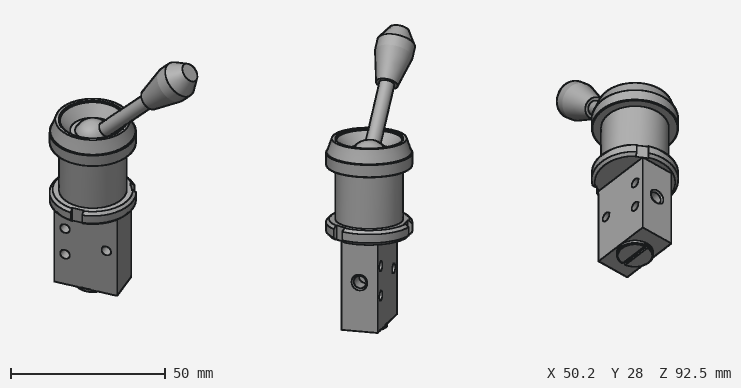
import cadquery as cq

block_bottom = 1.4
block_height = 30.0
nut_height = 4.9
cap_bottom = 54.4
cap_band_top = 58.6
cap_top = 63.5
dish_floor = 59.2

block_width = 22.0
block_depth = 12.2
sleeve_diameter = 22.0
block_top = block_bottom + block_height

pin_hole_diameter = 3.3
pin_hole_offset = 7.2
pin_hole_spacing = 10.0
port_height = 17.9
port_diameter = 4.2
port_depth = 6.5
port_mouth_diameter = 5.4

screw_diameter = 11.8
screw_chamfer = 0.4
screw_slot_width = 1.2
screw_slot_depth = 1.0

ring_diameter = 28.0
nut_chamfer = 1.0
notch_width = 4.0
notch_floor_radius = 12.5
notch_angles = (-90, 30, 150)

cap_edge_chamfer = 0.3
cap_rim_diameter = 24.2
dish_lip_diameter = 22.0
dish_lip_depth = 0.5
dish_mouth_diameter = 21.2
dish_floor_diameter = 14.7

lever_tilt = 45
lever_center_height = 56.29
ball_diameter = 12.95
rod_diameter = 5.0
knob_start = 28.0
knob_band_start = 39.0
knob_band_end = 43.0
knob_end = 48.0
knob_neck_diameter = 7.2
knob_diameter = 12.5
knob_end_diameter = 6.5


def make_block():
    """Rectangular block with three through holes and one blind port."""
    block = (
        cq.Workplane("XY")
        .workplane(offset=block_bottom)
        .rect(block_width, block_depth)
        .extrude(block_height)
    )
    hole_places = [
        (-pin_hole_offset, port_height - pin_hole_spacing / 2),
        (-pin_hole_offset, port_height + pin_hole_spacing / 2),
        (pin_hole_offset, port_height),
    ]
    pin_holes = cq.Workplane("XZ").pushPoints(hole_places).circle(pin_hole_diameter / 2)
    block = block.cut(pin_holes.extrude(block_depth, both=True))

    face_x = -block_width / 2
    mouth_depth = (port_mouth_diameter - port_diameter) / 2
    port = (
        cq.Workplane("XY", origin=(face_x, 0, port_height))
        .lineTo(0, port_mouth_diameter / 2)
        .lineTo(mouth_depth, port_diameter / 2)
        .lineTo(port_depth, port_diameter / 2)
        .lineTo(port_depth, 0)
        .close()
        .revolve(360, (0, 0), (1, 0))
    )
    return block.cut(port)


def make_screw_head():
    """Slotted round head below the block."""
    head = cq.Workplane("XY").circle(screw_diameter / 2).extrude(block_bottom)
    head = head.faces("<Z").chamfer(screw_chamfer)
    slot = cq.Workplane("XY").rect(screw_diameter, screw_slot_width).extrude(screw_slot_depth)
    return head.cut(slot)


def make_nut():
    """Ring nut, chamfered on both edges, with three flat-floored notches."""
    nut = cq.Workplane("XY").workplane(offset=block_top).circle(ring_diameter / 2).extrude(nut_height)
    nut = nut.faces("<Z or >Z").chamfer(nut_chamfer)
    notch_reach = ring_diameter / 2 - notch_floor_radius
    for angle in notch_angles:
        notch = (
            cq.Workplane("XY")
            .box(notch_reach, notch_width, nut_height, centered=(False, True, False))
            .translate((notch_floor_radius, 0, block_top))
            .rotate((0, 0, 0), (0, 0, 1), angle)
        )
        nut = nut.cut(notch)
    return nut


def make_cap():
    """Tapered cap with a conical dish sunk into its top."""
    ring_radius = ring_diameter / 2
    profile = [
        (0, cap_bottom),
        (ring_radius - cap_edge_chamfer, cap_bottom),
        (ring_radius, cap_bottom + cap_edge_chamfer),
        (ring_radius, cap_band_top),
        (ring_radius - cap_edge_chamfer, cap_band_top + cap_edge_chamfer),
        (cap_rim_diameter / 2, cap_top),
        (dish_lip_diameter / 2, cap_top),
        (dish_lip_diameter / 2, cap_top - dish_lip_depth),
        (dish_mouth_diameter / 2, cap_top - dish_lip_depth),
        (dish_floor_diameter / 2, dish_floor),
        (0, dish_floor),
    ]
    return cq.Workplane("XZ").polyline(profile).close().revolve(360, (0, 0), (0, 1))


def make_ball():
    """Ball on which the lever pivots."""
    return cq.Workplane("XY").sphere(ball_diameter / 2).translate((0, 0, lever_center_height))


def make_housing():
    """Block, screw head, nut, sleeve and cap, with a socket fitted to the lever."""
    sleeve = (
        cq.Workplane("XY")
        .workplane(offset=block_top)
        .circle(sleeve_diameter / 2)
        .extrude(cap_bottom - block_top)
    )
    housing = make_block().union(make_screw_head()).union(make_nut()).union(sleeve).union(make_cap())
    return housing.cut(make_lever())


def make_lever():
    """Ball, rod and knob, with the rod tilted towards +X."""
    profile = [
        (0, 0),
        (rod_diameter / 2, 0),
        (rod_diameter / 2, knob_start),
        (knob_neck_diameter / 2, knob_start),
        (knob_diameter / 2, knob_band_start),
        (knob_diameter / 2, knob_band_end),
        (knob_end_diameter / 2, knob_end),
        (0, knob_end),
    ]
    handle = (
        cq.Workplane("XZ")
        .polyline(profile)
        .close()
        .revolve(360, (0, 0), (0, 1))
        .rotate((0, 0, 0), (0, 1, 0), lever_tilt)
        .translate((0, 0, lever_center_height))
    )
    return make_ball().union(handle)


housing = make_housing()
lever = make_lever()
result = cq.Compound.makeCompound([housing.val(), lever.val()])